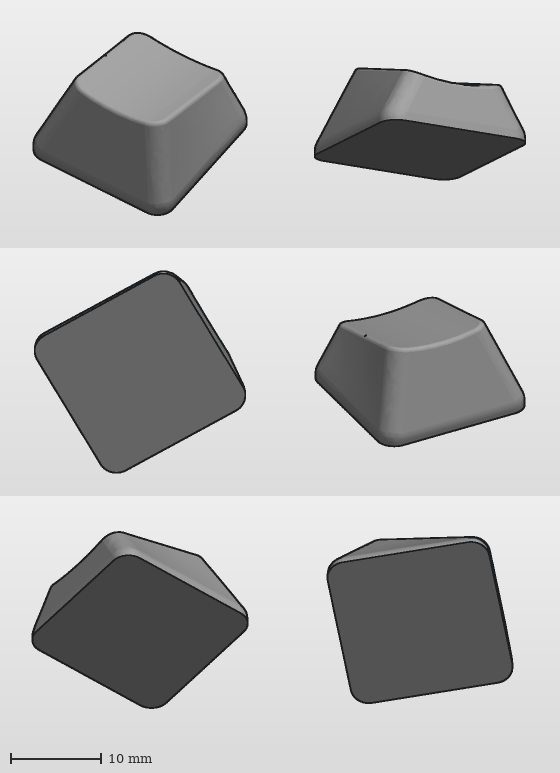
import cadquery as cq
import math

base_size = 18.16
skirt_height = 1.0

top_tilt = 15.7
top_width = 11.9
top_front_y = -4.97
top_back_y = 8.64
top_height_at_origin = 8.67

dish_radius = 24.0
dish_depth = 0.84
dish_length = 40.0

body_fillet_radius = 2.05
rim_fillet_radius = 0.5

tilt = math.radians(top_tilt)
top_center_y = (top_front_y + top_back_y) / 2
top_center_z = top_height_at_origin - top_center_y * math.tan(tilt)
top_length = (top_back_y - top_front_y) / math.cos(tilt)
top_plane = cq.Plane(
    origin=(0, top_center_y, top_center_z),
    xDir=(1, 0, 0),
    normal=(0, math.sin(tilt), math.cos(tilt)),
)


def rectangle_wire(plane, width, length):
    """Closed rectangular wire centred on a plane."""
    return cq.Workplane(plane).rect(width, length).wires().val()


def make_body():
    """Sharp-edged skirt with tapered walls rising to the tilted top."""
    skirt = cq.Workplane("XY").rect(base_size, base_size).extrude(skirt_height)
    seam_plane = cq.Plane.XY(origin=(0, 0, skirt_height))
    seam_wire = rectangle_wire(seam_plane, base_size, base_size)
    top_wire = rectangle_wire(top_plane, top_width, top_length)
    walls = cq.Solid.makeLoft([seam_wire, top_wire], True)
    return skirt.union(cq.Workplane(walls))


def round_body(body):
    """Fillet every edge except those around the bottom and the tilted top."""
    sharp_edges = body.faces("<Z or >Z").edges().vals()
    rounded_edges = [edge for edge in body.edges().vals() if edge not in sharp_edges]
    return body.newObject(rounded_edges).fillet(body_fillet_radius)


def make_dish():
    """Long cylinder whose lowest line lies dish_depth below the tilted top."""
    cross_section = cq.Plane(origin=top_plane.origin, xDir=(1, 0, 0), normal=-top_plane.yDir)
    return (
        cq.Workplane(cross_section)
        .center(0, dish_radius - dish_depth)
        .circle(dish_radius)
        .extrude(dish_length / 2, both=True)
    )


def round_rim(body):
    """Fillet the edge where the dish meets the walls."""
    dish_face = body.faces(cq.selectors.NearestToPointSelector(top_plane.origin.toTuple()))
    return dish_face.edges().fillet(rim_fillet_radius)


body = round_body(make_body())
result = round_rim(body.cut(make_dish()))